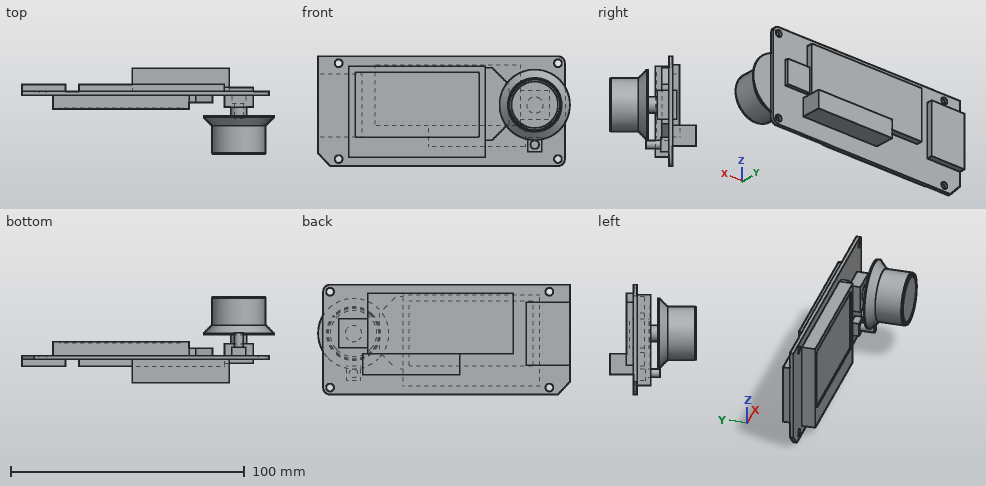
import cadquery as cq


OVERALL_LENGTH = 107.8

BOARD_LENGTH = 105.6
BOARD_HEIGHT = 47.0
BOARD_THICKNESS = 1.6
BOARD_CORNER_RADIUS = 3.0
BOARD_CUT_X = 5.2
BOARD_CUT_Z = 5.5
HOLE_DIAMETER = 3.2
HOLE_MARGIN = 3.0
HOLE_LEFT_X = 8.8

DISPLAY_LEFT = 13.3
DISPLAY_BOTTOM = 3.9
DISPLAY_LENGTH = 58.2
DISPLAY_HEIGHT = 38.9
DISPLAY_DEPTH = 5.9
WINDOW_LEFT = 16.0
WINDOW_BOTTOM = 12.3
WINDOW_LENGTH = 52.9
WINDOW_HEIGHT = 27.9
WINDOW_DEPTH = 0.5
WINDOW_CORNER_RADIUS = 0.6

TAIL_BOTTOM = 11.0
TAIL_HEIGHT = 31.1
TAIL_STRAIGHT = 2.9
TAIL_TAPER = 7.1
TAIL_DEPTH = 3.1

KNOB_RADIUS = 15.1
KNOB_X = OVERALL_LENGTH - KNOB_RADIUS
KNOB_Z = 26.2
ENCODER_WIDTH = 12.4
ENCODER_HEIGHT = 12.4
ENCODER_DEPTH = 5.1
SHAFT_DIAMETER = 7.0

KNOB_GAP = 8.8
KNOB_LENGTH = 16.4
RIM_LENGTH = 0.6
GRIP_RADIUS = 11.5
GRIP_FRONT_RADIUS = 11.2
GRIP_BEVEL_LENGTH = 0.6
GROOVE_OUTER_RADIUS = 10.8
GROOVE_INNER_RADIUS = 9.9
GROOVE_DEPTH = 0.2
FACE_RECESS = 0.1

BUTTON_Z = 9.2
BUTTON_WIDTH = 6.1
BUTTON_DEPTH = 3.5
PLUNGER_DIAMETER = 3.7
PLUNGER_REACH = 9.8

REAR_DEPTH = 3.0
SOCKET_LENGTH = 18.6
SOCKET_BOTTOM = 12.6
SOCKET_HEIGHT = 26.9
PANEL_LEFT = 24.4
PANEL_LENGTH = 62.1
PANEL_TOP = 43.4
CONNECTOR_LEFT = 47.1
CONNECTOR_BOTTOM = 8.5
CONNECTOR_LENGTH = 41.6
CONNECTOR_HEIGHT = 9.0
CONNECTOR_DEPTH = 10.0
CONTACT_DEPTH = 1.7


def box(left, bottom, length, height, back, depth):
    """Box whose depth runs from Y = back toward -Y."""
    block = cq.Workplane("XY").box(length, depth, height, centered=False)
    return block.translate((left, back - depth, bottom))


def rear_box(left, bottom, length, height, depth):
    """Box standing on the rear face of the board."""
    return box(left, bottom, length, height, BOARD_THICKNESS + depth, depth)


def forward_cylinder(x, z, diameter, start, end):
    """Cylinder along -Y between two distances in front of the board."""
    plane = cq.Workplane("XZ", origin=(x, -start, z))
    return plane.circle(diameter / 2).extrude(end - start)


def make_board():
    blank = (
        cq.Workplane("XZ")
        .moveTo(0, BOARD_CUT_Z)
        .lineTo(BOARD_CUT_X, 0)
        .lineTo(BOARD_LENGTH, 0)
        .lineTo(BOARD_LENGTH, BOARD_HEIGHT)
        .lineTo(0, BOARD_HEIGHT)
        .close()
        .extrude(-BOARD_THICKNESS)
    )
    rounded = blank.edges("|Y and >X").fillet(BOARD_CORNER_RADIUS)
    hole_centres = [
        (x, z)
        for x in (HOLE_LEFT_X, BOARD_LENGTH - HOLE_MARGIN)
        for z in (HOLE_MARGIN, BOARD_HEIGHT - HOLE_MARGIN)
    ]
    holes = cq.Workplane("XZ").pushPoints(hole_centres).circle(HOLE_DIAMETER / 2).extrude(-BOARD_THICKNESS)
    return rounded.cut(holes)


def make_display():
    body = box(DISPLAY_LEFT, DISPLAY_BOTTOM, DISPLAY_LENGTH, DISPLAY_HEIGHT, 0, DISPLAY_DEPTH)
    window_back = WINDOW_DEPTH - DISPLAY_DEPTH
    window = box(WINDOW_LEFT, WINDOW_BOTTOM, WINDOW_LENGTH, WINDOW_HEIGHT, window_back, WINDOW_DEPTH)
    return body.cut(window.edges("|Y").fillet(WINDOW_CORNER_RADIUS))


def make_tail():
    left = DISPLAY_LEFT + DISPLAY_LENGTH
    shoulder = left + TAIL_STRAIGHT
    tip = shoulder + TAIL_TAPER
    top = TAIL_BOTTOM + TAIL_HEIGHT
    return (
        cq.Workplane("XZ")
        .moveTo(left, TAIL_BOTTOM)
        .lineTo(shoulder, TAIL_BOTTOM)
        .lineTo(tip, TAIL_BOTTOM + TAIL_TAPER)
        .lineTo(tip, top - TAIL_TAPER)
        .lineTo(shoulder, top)
        .lineTo(left, top)
        .close()
        .extrude(TAIL_DEPTH)
    )


def make_encoder():
    left = KNOB_X - ENCODER_WIDTH / 2
    bottom = KNOB_Z - ENCODER_HEIGHT / 2
    base = box(left, bottom, ENCODER_WIDTH, ENCODER_HEIGHT, 0, ENCODER_DEPTH)
    return base.union(forward_cylinder(KNOB_X, KNOB_Z, SHAFT_DIAMETER, ENCODER_DEPTH, KNOB_GAP))


def make_knob():
    """Half profile (radius, distance from the back face) turned about the knob axis."""
    flare_end = RIM_LENGTH + KNOB_RADIUS - GRIP_RADIUS
    profile = [
        (0, 0),
        (KNOB_RADIUS, 0),
        (KNOB_RADIUS, RIM_LENGTH),
        (GRIP_RADIUS, flare_end),
        (GRIP_RADIUS, KNOB_LENGTH - GRIP_BEVEL_LENGTH),
        (GRIP_FRONT_RADIUS, KNOB_LENGTH),
        (GROOVE_OUTER_RADIUS, KNOB_LENGTH),
        (GROOVE_OUTER_RADIUS, KNOB_LENGTH - GROOVE_DEPTH),
        (GROOVE_INNER_RADIUS, KNOB_LENGTH - GROOVE_DEPTH),
        (GROOVE_INNER_RADIUS, KNOB_LENGTH - FACE_RECESS),
        (0, KNOB_LENGTH - FACE_RECESS),
    ]
    turned = cq.Workplane("XY").polyline([(r, -y) for r, y in profile]).close()
    return turned.revolve(360, (0, 0, 0), (0, 1, 0)).translate((KNOB_X, -KNOB_GAP, KNOB_Z))


def make_button():
    left = KNOB_X - BUTTON_WIDTH / 2
    bottom = BUTTON_Z - BUTTON_WIDTH / 2
    base = box(left, bottom, BUTTON_WIDTH, BUTTON_WIDTH, 0, BUTTON_DEPTH)
    return base.union(forward_cylinder(KNOB_X, BUTTON_Z, PLUNGER_DIAMETER, BUTTON_DEPTH, PLUNGER_REACH))


def make_socket():
    return rear_box(0, SOCKET_BOTTOM, SOCKET_LENGTH, SOCKET_HEIGHT, REAR_DEPTH)


def make_connector():
    return rear_box(CONNECTOR_LEFT, CONNECTOR_BOTTOM, CONNECTOR_LENGTH, CONNECTOR_HEIGHT, CONNECTOR_DEPTH)


def make_panel():
    """Flat rear module that rests on top of the connector."""
    bottom = CONNECTOR_BOTTOM + CONNECTOR_HEIGHT
    return rear_box(PANEL_LEFT, bottom, PANEL_LENGTH, PANEL_TOP - bottom, REAR_DEPTH)


def make_contact_block():
    """Low block on the rear of the board, directly behind the encoder base."""
    left = KNOB_X - ENCODER_WIDTH / 2
    bottom = KNOB_Z - ENCODER_HEIGHT / 2
    return rear_box(left, bottom, ENCODER_WIDTH, ENCODER_HEIGHT, CONTACT_DEPTH)


board = make_board()
display = make_display()
tail = make_tail()
encoder = make_encoder()
knob = make_knob()
button = make_button()
socket = make_socket()
connector = make_connector()
panel = make_panel()
contact_block = make_contact_block()

result = cq.Compound.makeCompound(
    [
        board.val(),
        display.val(),
        tail.val(),
        encoder.val(),
        knob.val(),
        button.val(),
        socket.val(),
        connector.val(),
        panel.val(),
        contact_block.val(),
    ]
)